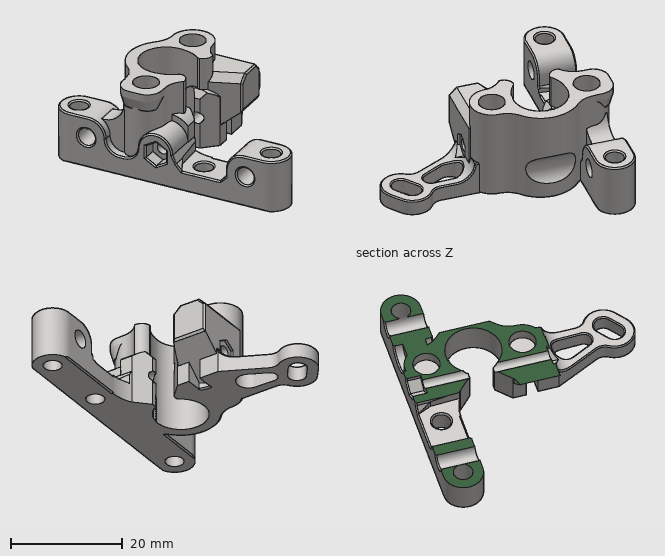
import cadquery as cq
import math

bar_length = 46.2
bar_width = 7.4
bar_height = 10.05
end_radius = bar_width / 2
floor_z = 3.9
lug_inner_x = 12.15
lug_radius = 3.45
valley_right_x = -5.65
valley_radius = 2.75
edge_chamfer = 0.3
foot = 1.2
boss_foot = 1.95
flare_x = 1.15
flare_y = 8.65
flare_end_x = 5.6

clamp_height = 17.5
bore_x = -6.98
bore_y = 13.5
bore_radius = 5.1
clamp_radius = 7.35
post_offset_x = 0.65
post_offset_y = 8.95
post_radius = 4.0
post_x = bore_x + post_offset_x
front_post_y = bore_y - post_offset_y
back_post_y = bore_y + post_offset_y
post_hole_radius = 2.4
post_hole_depth = 13.85
collar_edge_z = 16.05
collar_base_z = 13.85
collar_corner = 2.9
collar_undercut = 0.6
groove_radius = 3.33
groove_reach = 5.65
gusset_front_y = 1.75
gusset_width = 4.25

screw_x = -2.0
screw_z = 6.05
screw_radius = 1.15
nut_flats = 4.1
nut_depth = 2.75
nut_chamfer = 0.3
back_pocket_depth = 0.45
boss_radius = 3.45
boss_x = valley_right_x + boss_radius
jaw_gap = 4.6
jaw_tip_width = 1.2
jaw_height = 11.3
jaw_bevel_height = 1.4
jaw_bevel_depth = 1.2

pad_back_y = 26.75
pad_right_x = 5.0
pad_top_z = 14.1
pad_bevel = 1.45
pad_edge_chamfer = 0.32
pad_base_z = 7.0
pad_slope = 39.0

arm_thickness = 3.0
arm_left_x = -8.8
arm_right_x = 1.15
arm_right_y = 27.05
arm_fillet = 3.45
arm_start_y = 23.1
arm_chamfer = 0.25
neck_radius = 2.3
slot_ends = ((-5.9, 39.5), (-7.85, 37.98))
slot_radius = 1.7
eye_radius = 3.7
window_ends = ((-5.6, 33.7), (-4.57, 29.75))
window_radii = (1.45, 2.3)

fixing_radius = 1.7
fixing_chamfer = 0.3
end_hole_x = bar_length / 2 - end_radius
middle_hole_x = 5.8
cross_hole_x = 16.05

tall = 92.4


def cylinder_z(x, y, radius, bottom, height):
    return cq.Workplane("XY", origin=(x, y, bottom)).circle(radius).extrude(height)


def cylinder_y(x, z, radius, start, length):
    return cq.Workplane("XZ", origin=(x, start, z)).circle(radius).extrude(-length)


def rounded_link(first, first_radius, second, second_radius):
    """Closed outline around two circles and their outer tangents."""
    dx = second[0] - first[0]
    dy = second[1] - first[1]
    heading = math.atan2(dy, dx)
    spread = math.acos((first_radius - second_radius) / math.hypot(dx, dy))

    def on(center, radius, angle):
        return (center[0] + radius * math.cos(angle), center[1] + radius * math.sin(angle))

    return (
        cq.Workplane("XY")
        .moveTo(*on(first, first_radius, heading + spread))
        .threePointArc(
            on(first, first_radius, heading + math.pi),
            on(first, first_radius, heading - spread),
        )
        .lineTo(*on(second, second_radius, heading - spread))
        .threePointArc(
            on(second, second_radius, heading),
            on(second, second_radius, heading + spread),
        )
        .close()
    )


def bar_profile(y, inset=0.0):
    """Front outline of the bar in the plane at y, drawn in by the inset everywhere but its ends."""
    half = bar_length / 2
    diagonal = math.sqrt(0.5)
    top = bar_height - inset
    floor = floor_z - inset
    lug_x = lug_inner_x + inset
    lug_r = lug_radius - inset
    lug_z = bar_height - lug_radius
    lug_flat_x = lug_inner_x + lug_radius
    boss_r = boss_radius - inset
    boss_z = bar_height - boss_radius
    boss_right = boss_x + boss_r
    valley_r = valley_radius + inset
    valley_z = floor_z + valley_radius
    valley_x = valley_right_x - valley_radius
    miter = inset * math.tan(math.pi / 8)
    foot_z = floor_z + foot - miter
    return (
        cq.Workplane("XZ", origin=(0, y, 0))
        .moveTo(-half, inset)
        .lineTo(half, inset)
        .lineTo(half, top)
        .lineTo(lug_flat_x, top)
        .threePointArc((lug_flat_x - lug_r * diagonal, lug_z + lug_r * diagonal), (lug_x, lug_z))
        .lineTo(lug_x, foot_z)
        .lineTo(lug_inner_x - foot + miter, floor)
        .lineTo(boss_x + boss_radius + boss_foot - miter, floor)
        .lineTo(boss_x + boss_radius + boss_foot - foot - miter, foot_z)
        .lineTo(boss_right, boss_z)
        .threePointArc((boss_x, top), (boss_x - boss_r, boss_z))
        .threePointArc(
            (valley_x + valley_r * diagonal, valley_z - valley_r * diagonal), (valley_x, floor)
        )
        .lineTo(-lug_inner_x + valley_radius, floor)
        .threePointArc(
            (-lug_inner_x + valley_radius - valley_r * diagonal, valley_z - valley_r * diagonal),
            (-lug_x, valley_z),
        )
        .lineTo(-lug_x, lug_z)
        .threePointArc((-lug_flat_x + lug_r * diagonal, lug_z + lug_r * diagonal), (-lug_flat_x, top))
        .lineTo(-half, top)
        .close()
    )


def bevel_layer(outer_y, inner_y):
    """Bevelled slice of the bar next to its front or back face."""
    outer = bar_profile(outer_y, edge_chamfer).wire().val()
    inner = bar_profile(inner_y).wire().val()
    return cq.Workplane(cq.Solid.makeLoft([outer, inner], True))


def make_bar():
    """Bar with a tall lug at each end and an arched screw boss between two low stretches."""
    inner_back = bar_width - edge_chamfer
    body = bar_profile(edge_chamfer).extrude(-(bar_width - 2 * edge_chamfer))
    body = body.union(bevel_layer(0, edge_chamfer)).union(bevel_layer(bar_width, inner_back))
    plan = (
        cq.Workplane("XY", origin=(0, end_radius, 0))
        .slot2D(bar_length, bar_width)
        .extrude(bar_height)
        .faces(">Z").edges().chamfer(edge_chamfer)
    )
    flare = (
        cq.Workplane("XY")
        .moveTo(post_x, end_radius)
        .lineTo(post_x, flare_y)
        .lineTo(flare_x, flare_y)
        .threePointArc((3.25, 7.7), (flare_end_x, bar_width))
        .lineTo(flare_end_x, end_radius)
        .close()
        .extrude(bar_height)
    )
    web = bar_profile(end_radius).extrude(-bar_width).intersect(flare)
    corner_back_y = flare_y + 0.45
    floor_corners = (
        cq.Workplane("XY", origin=(0, 0, floor_z))
        .polyline([
            (boss_x + boss_radius + boss_foot, 0), (2.0, 2.75), (1.65, corner_back_y),
            (lug_inner_x, corner_back_y), (lug_inner_x - foot, 0),
        ])
        .close()
        .extrude(bar_height)
    )
    return body.intersect(plan).union(web).cut(floor_corners)


def make_clamp():
    """C-shaped body around the bore, with a post at each end and rounded lips at the opening."""
    def at(x, y):
        return (bore_x + x, bore_y + y)

    post_left = post_offset_x - post_radius
    post_right = post_offset_x + post_radius
    post_tip = post_offset_y + post_radius
    waist = (-4.9, math.sqrt(clamp_radius**2 - 4.9**2))
    lip_start = (0.45, bore_radius - 0.1)
    body = (
        cq.Workplane("XY")
        .moveTo(*at(waist[0], -waist[1]))
        .threePointArc(at(-clamp_radius, 0), at(*waist))
        .threePointArc(at(-3.85, 6.95), at(post_left, post_offset_y))
        .threePointArc(at(post_offset_x, post_tip), at(post_right, post_offset_y))
        .threePointArc(at(5.2, 7.0), at(6.45, 5.65))
        .threePointArc(at(6.38, 4.6), at(4.95, 3.4))
        .lineTo(*at(4.5, 3.5))
        .threePointArc(at(2.75, 4.57), at(*lip_start))
        .lineTo(*at(lip_start[0], -lip_start[1]))
        .threePointArc(at(2.75, -4.57), at(4.5, -3.5))
        .lineTo(*at(4.95, -3.4))
        .threePointArc(at(6.38, -4.6), at(6.45, -5.65))
        .threePointArc(at(5.2, -7.0), at(post_right, -post_offset_y))
        .threePointArc(at(post_offset_x, -post_tip), at(post_left, -post_offset_y))
        .threePointArc(at(-3.85, -6.95), at(waist[0], -waist[1]))
        .close()
        .extrude(clamp_height)
    )
    beside_flexure = cq.selectors.BoxSelector((-tall, 0, -0.45), (-9.25, tall, 0.45))
    return body.edges(beside_flexure).chamfer(edge_chamfer)


def make_collar():
    """Squared-off top of the front post, flush with the bar face and tapered underneath."""
    half_width = post_radius - 0.05
    plan = (
        cq.Workplane("XY", origin=(post_x, front_post_y / 2, collar_edge_z))
        .rect(2 * half_width, front_post_y)
        .extrude(clamp_height - collar_edge_z)
        .edges("|Z and <Y").fillet(collar_corner)
    )
    taper = math.degrees(math.atan2(collar_undercut, collar_edge_z - collar_base_z))
    underside = plan.faces("<Z").wires().toPending().extrude(collar_base_z - collar_edge_z, taper=taper)
    return plan.union(underside)


def make_gusset():
    """Rib that sweeps up from the left lug to the front post."""
    left_x = -14.1
    right_x = post_x - 2.3
    low_z = 9.6
    high_z = 12.47
    return (
        cq.Workplane("XZ", origin=(0, gusset_front_y, 0))
        .moveTo(left_x, 0)
        .lineTo(left_x, low_z)
        .threePointArc((-11.25, 10.15), (-9.5, high_z))
        .lineTo(right_x, high_z)
        .lineTo(right_x, 0)
        .close()
        .extrude(-gusset_width)
    )


def make_jaw(side):
    """Low jaw whose narrow tip faces the clamp gap and leans back at the top."""
    def at(x, y):
        return (screw_x + x, bore_y + side * y)

    tip_y = jaw_gap / 2
    half_tip = jaw_tip_width / 2
    plan = (
        cq.Workplane("XY")
        .polyline([
            at(-half_tip, tip_y), at(half_tip, tip_y), at(3.33, 4.9),
            at(3.33, 7.4), at(-4.4, 7.4), at(-4.4, 4.85),
        ])
        .close()
        .extrude(jaw_height)
    )
    side_profile = (
        cq.Workplane("YZ", origin=(screw_x - tall / 2, 0, 0))
        .polyline([
            (bore_y + side * tip_y, 0),
            (bore_y + side * tip_y, jaw_height - jaw_bevel_height),
            (bore_y + side * (tip_y + jaw_bevel_depth), jaw_height),
            (bore_y + side * bore_y, jaw_height),
            (bore_y + side * bore_y, 0),
        ])
        .close()
        .extrude(tall)
    )
    arch_radius = jaw_height - (bar_height - boss_radius)
    arch = (
        cq.Workplane("XZ")
        .moveTo(boss_x - arch_radius, 0)
        .lineTo(boss_x + arch_radius, 0)
        .lineTo(boss_x + arch_radius, jaw_height - arch_radius)
        .threePointArc((boss_x, jaw_height), (boss_x - arch_radius, jaw_height - arch_radius))
        .close()
        .extrude(-tall)
    )
    return plan.intersect(side_profile).intersect(arch)


def make_pad():
    """Bevelled pad behind the clamp screw, with a sloping underside."""
    left_x = post_x
    plan = (
        cq.Workplane("XY")
        .polyline([
            (left_x, back_post_y), (-0.92, 17.7), (pad_right_x, 19.95),
            (pad_right_x, pad_back_y), (left_x, pad_back_y),
        ])
        .close()
        .extrude(pad_top_z)
    )
    slope_run = pad_base_z / math.tan(math.radians(pad_slope))
    profile = (
        cq.Workplane("XZ")
        .polyline([
            (left_x, 0), (pad_right_x - slope_run, 0), (pad_right_x, pad_base_z),
            (pad_right_x, pad_top_z), (left_x, pad_top_z),
        ])
        .close()
        .extrude(-tall)
    )
    pad = plan.intersect(profile)
    pad = pad.faces(">Z").edges("<Y or >Y").chamfer(pad_bevel)
    return pad.faces(">X").edges().chamfer(pad_edge_chamfer)


def make_arm():
    """Thin arm with a slotted eye, curving up into the back post."""
    eye = rounded_link(slot_ends[0], eye_radius, slot_ends[1], eye_radius).extrude(tall)
    web = (
        cq.Workplane("XY")
        .moveTo(arm_left_x, arm_start_y)
        .lineTo(arm_left_x, slot_ends[1][1])
        .lineTo(*slot_ends[1])
        .lineTo(*slot_ends[0])
        .lineTo(-4.25, slot_ends[1][1])
        .lineTo(arm_right_x, arm_right_y)
        .lineTo(arm_right_x, arm_start_y)
        .close()
        .extrude(tall)
    )
    window = rounded_link(
        window_ends[0], window_radii[0], window_ends[1], window_radii[1]
    ).extrude(tall)
    slot = rounded_link(slot_ends[0], slot_radius, slot_ends[1], slot_radius).extrude(tall)
    fillet_y = back_post_y + post_radius + arm_fillet
    side_profile = (
        cq.Workplane("YZ", origin=(-tall / 2, 0, 0))
        .moveTo(arm_start_y, 0)
        .lineTo(tall, 0)
        .lineTo(tall, arm_thickness)
        .lineTo(fillet_y, arm_thickness)
        .threePointArc(
            (
                fillet_y - arm_fillet * math.sqrt(0.5),
                arm_thickness + arm_fillet * (1 - math.sqrt(0.5)),
            ),
            (fillet_y - arm_fillet, arm_thickness + arm_fillet),
        )
        .lineTo(arm_start_y, arm_thickness + arm_fillet)
        .close()
        .extrude(tall)
    )
    blank = eye.union(web)
    for neck in ((arm_left_x, 34.35, tall / 2), (-3.5, 36.65, tall / 2)):
        corner = blank.edges("|Z").edges(cq.selectors.NearestToPointSelector(neck))
        blank = corner.fillet(neck_radius)
    arm = blank.cut(window).cut(slot).intersect(side_profile)
    top_edges = arm.faces("+Z").edges("not |X")
    return top_edges.chamfer(arm_chamfer)


def hexagon(y, flats):
    """Upright hexagon about the clamp screw axis in the plane at y, one corner pointing down."""
    corner = flats / math.sqrt(3)
    angles = [k * math.pi / 3 for k in range(6)]
    corners = [(corner * math.sin(a), corner * math.cos(a)) for a in angles]
    return cq.Workplane("XZ", origin=(screw_x, y, screw_z)).polyline(corners).close()


def screw_cutter():
    """Clamp screw bore, a bevelled nut pocket in the front and hexagonal clearance at the back."""
    mouth = hexagon(0, nut_flats + 2 * nut_chamfer).wire().val()
    throat = hexagon(nut_chamfer, nut_flats).wire().val()
    cutter = cylinder_y(screw_x, screw_z, screw_radius, 0, tall)
    cutter = cutter.union(hexagon(0, nut_flats).extrude(-nut_depth))
    cutter = cutter.union(cq.Workplane(cq.Solid.makeLoft([mouth, throat], True)))
    return cutter.union(hexagon(pad_back_y - back_pocket_depth, nut_flats).extrude(-tall))


def fixing_cutters():
    """Plain chamfered holes: three through the bar's height and two across its width."""
    lead_radius = fixing_radius + fixing_chamfer
    cutters = cq.Workplane("XY")
    for x, top in ((-end_hole_x, bar_height), (middle_hole_x, floor_z), (end_hole_x, bar_height)):
        cutters = cutters.union(cylinder_z(x, end_radius, fixing_radius, 0, top))
        cone = cq.Solid.makeCone(
            fixing_radius, lead_radius, fixing_chamfer,
            cq.Vector(x, end_radius, top - fixing_chamfer),
        )
        cutters = cutters.union(cq.Workplane(cone))
    for x in (-cross_hole_x, cross_hole_x):
        cutters = cutters.union(cylinder_y(x, screw_z, fixing_radius, 0, bar_width))
        cone = cq.Solid.makeCone(
            lead_radius, fixing_radius, fixing_chamfer,
            cq.Vector(x, 0, screw_z), cq.Vector(0, 1, 0),
        )
        cutters = cutters.union(cq.Workplane(cone))
    return cutters


def make_flexure_groove():
    """Round-bottomed groove that thins the clamp wall opposite its opening."""
    axis_x = bore_x - groove_reach - groove_radius
    return cylinder_y(axis_x, screw_z, groove_radius, bar_width, 2 * (bore_y - bar_width))


result = make_clamp().union(make_collar())
for side in (1, -1):
    result = result.union(make_jaw(side))
result = result.union(make_pad()).union(make_arm())
result = result.cut(cylinder_z(bore_x, bore_y, bore_radius, 0, tall))
result = result.cut(make_flexure_groove())
result = result.union(make_bar()).union(make_gusset())
for y in (front_post_y, back_post_y):
    result = result.cut(cylinder_z(post_x, y, post_hole_radius, clamp_height - post_hole_depth, tall))
result = result.cut(screw_cutter()).cut(fixing_cutters())